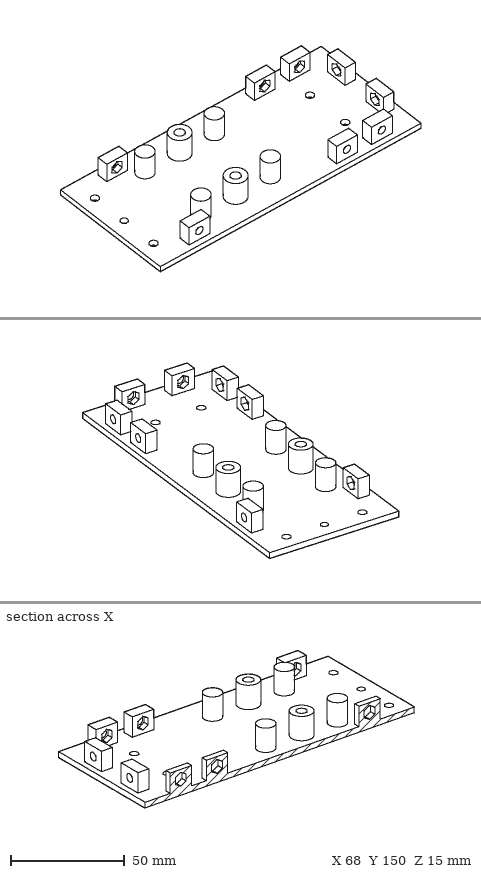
import cadquery as cq

PLATE_WIDTH = 68.0
PLATE_LENGTH = 150.0
PLATE_THICKNESS = 3.0
BACK_EDGE = PLATE_LENGTH / 2
FRONT_EDGE = -PLATE_LENGTH / 2

BLOCK_WIDTH = 12.0
BLOCK_THICKNESS = 6.0
BLOCK_HEIGHT = 10.0
BLOCK_EDGE_GAP = 3.0
BLOCK_BOLT_DIAMETER = 4.0
NUT_CORNER_DIAMETER = 6.6
NUT_POCKET_DEPTH = 3.0
BLOCK_INSET = BLOCK_EDGE_GAP + BLOCK_THICKNESS / 2
SIDE_BLOCK_X = PLATE_WIDTH / 2 - BLOCK_INSET
SIDE_BLOCK_YS = (BACK_EDGE - 20.0, BACK_EDGE - 40.0, FRONT_EDGE + 25.0)
END_BLOCK_X = 13.0
END_BLOCK_Y = BACK_EDGE - BLOCK_INSET

POST_HEIGHT = 12.0
POST_DIAMETER = 9.0
BOSS_DIAMETER = 11.0
BOSS_HOLE_DIAMETER = 5.0
POST_ROW_X = 19.0
BOSS_Y = FRONT_EDGE + 56.0
POST_SPACING = 20.0

PLATE_HOLE_DIAMETER = 4.0
CENTRE_HOLE_DIAMETER = 3.6
BACK_HOLE_X = 12.0
BACK_HOLE_Y = BACK_EDGE - 25.0
FRONT_HOLE_X = 20.0
FRONT_HOLE_Y = FRONT_EDGE + 8.0

OVERLAP = PLATE_THICKNESS / 2


def mirrored(x, y):
    """Return a point and its mirror image across the YZ plane."""
    return [(-x, y), (x, y)]


def cylinders(points, diameter, height):
    """Make vertical cylinders that stand on Z = 0."""
    return cq.Workplane("XY").pushPoints(points).circle(diameter / 2).extrude(height)


def nut_block(x, y, angle):
    """Make a block with a bolt hole and a hexagonal nut pocket.

    At angle 0 the pocket opens toward -Y; the angle turns it about Z.
    """
    block = (
        cq.Workplane("XY")
        .box(BLOCK_WIDTH, BLOCK_THICKNESS, BLOCK_HEIGHT + OVERLAP, centered=(True, True, False))
        .translate((0, 0, -OVERLAP))
    )
    bolt_axis = cq.Workplane("XZ", origin=(0, BLOCK_THICKNESS / 2, BLOCK_HEIGHT / 2))
    bolt_hole = bolt_axis.circle(BLOCK_BOLT_DIAMETER / 2).extrude(BLOCK_THICKNESS)
    nut_pocket = (
        bolt_axis.workplane(offset=BLOCK_THICKNESS - NUT_POCKET_DEPTH)
        .transformed(rotate=(0, 0, 90))
        .polygon(6, NUT_CORNER_DIAMETER)
        .extrude(NUT_POCKET_DEPTH)
    )
    block = block.cut(bolt_hole).cut(nut_pocket)
    return block.rotate((0, 0, 0), (0, 0, 1), angle).translate((x, y, PLATE_THICKNESS))


result = cq.Workplane("XY").box(
    PLATE_WIDTH, PLATE_LENGTH, PLATE_THICKNESS, centered=(True, True, False)
)

for x, y in mirrored(END_BLOCK_X, END_BLOCK_Y):
    result = result.union(nut_block(x, y, 0))
for y in SIDE_BLOCK_YS:
    result = result.union(nut_block(-SIDE_BLOCK_X, y, 90))
    result = result.union(nut_block(SIDE_BLOCK_X, y, -90))

top_z = PLATE_THICKNESS + POST_HEIGHT
boss_points = mirrored(POST_ROW_X, BOSS_Y)
post_points = mirrored(POST_ROW_X, BOSS_Y - POST_SPACING) + mirrored(POST_ROW_X, BOSS_Y + POST_SPACING)
result = result.union(cylinders(post_points, POST_DIAMETER, top_z))
result = result.union(cylinders(boss_points, BOSS_DIAMETER, top_z))

plate_holes = mirrored(BACK_HOLE_X, BACK_HOLE_Y) + mirrored(FRONT_HOLE_X, FRONT_HOLE_Y)
result = result.cut(cylinders(boss_points, BOSS_HOLE_DIAMETER, top_z))
result = result.cut(cylinders(plate_holes, PLATE_HOLE_DIAMETER, PLATE_THICKNESS))
result = result.cut(cylinders([(0, FRONT_HOLE_Y)], CENTRE_HOLE_DIAMETER, PLATE_THICKNESS))